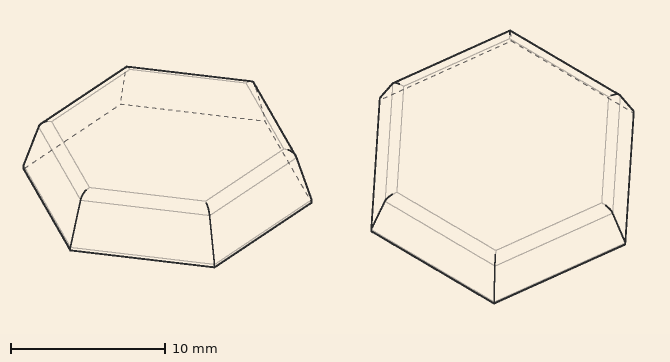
import cadquery as cq

across_corners = 19.05
total_height = 4.05
rim_height = 0.27
draft_angle = 15.0
top_edge_radius = 0.76
side_count = 6


def hexagon(plane):
    """Hexagon with two corners on the X axis."""
    return plane.polygon(side_count, across_corners)


rim = hexagon(cq.Workplane("XY")).extrude(rim_height)

body = hexagon(cq.Workplane("XY").workplane(offset=rim_height)).extrude(
    total_height - rim_height, taper=draft_angle
)
body = body.faces(">Z").edges().fillet(top_edge_radius)

result = rim.union(body)